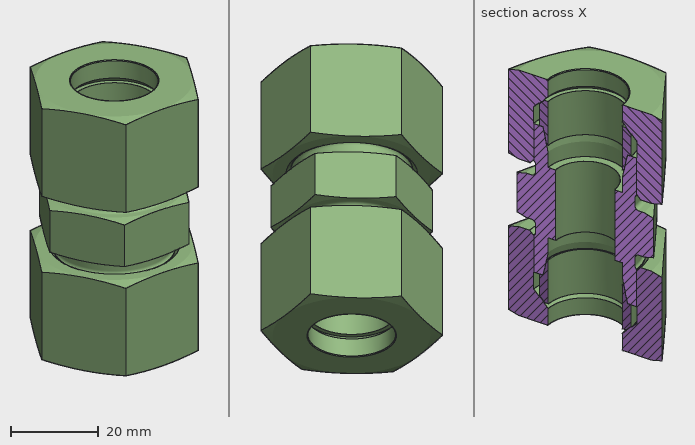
import cadquery as cq
import math

TOTAL_LENGTH = 66.0
HALF_LENGTH = TOTAL_LENGTH / 2

HEX_CHAMFER_ANGLE = 15.0
NUT_WIDTH = 36.0
NUT_SPACING = 18.0
BODY_HEX_WIDTH = 32.0
BODY_HEX_LENGTH = 12.0

THROUGH_BORE = 16.0
TUBE_BORE = 20.0
CONE_MOUTH = 22.8
RING_HEAD = 25.0
COLLAR = 27.0
THREAD = 27.85
NUT_MOUTH = 30.0

BODY_LENGTH = 40.0
STOP_SPACING = 19.0
CONE_HALF_ANGLE = 12.0
COLLAR_FILLET = 1.05
COLLAR_END_Z = 9.05
NUT_BORE_DEPTH = 4.6
NUT_BORE_CHAMFER = 0.2
RING_GAP = 1.2
RING_NOSE_LENGTH = 4.6

NUT_INNER_Z = NUT_SPACING / 2
NUT_PASSAGE_Z = HALF_LENGTH - NUT_BORE_DEPTH
BODY_END_Z = BODY_LENGTH / 2
RING_TOP_Z = NUT_PASSAGE_Z - RING_GAP
MOUTH_CHAMFER = (NUT_MOUTH - THREAD) / 2
CONE_SLOPE = math.tan(math.radians(CONE_HALF_ANGLE))


def revolve_profile(points):
    """Turn (radius, z) points into a solid of revolution about Z."""
    return cq.Workplane("XZ").polyline(points).close().revolve(360, (0, 0, 0), (0, 1, 0))


def chamfered_hexagon(width, z_low, z_high):
    """Hexagonal prism, flats facing +X and -X, with both ends turned to a shallow cone."""
    corner_diameter = width / math.cos(math.pi / 6)
    prism = (
        cq.Workplane("XY", origin=(0, 0, z_low))
        .polygon(6, corner_diameter)
        .extrude(z_high - z_low)
        .rotate((0, 0, 0), (0, 0, 1), 30)
    )
    flat_radius = width / 2
    outer_radius = corner_diameter
    drop = (outer_radius - flat_radius) * math.tan(math.radians(HEX_CHAMFER_ANGLE))
    envelope = revolve_profile([
        (0, z_low),
        (flat_radius, z_low),
        (outer_radius, z_low + drop),
        (outer_radius, z_high - drop),
        (flat_radius, z_high),
        (0, z_high),
    ])
    return prism.intersect(envelope)


def collar_fillet_point(angle):
    """Radial rise and axial advance along the collar fillet, from its tangent line on the collar."""
    turn = math.radians(angle)
    return COLLAR_FILLET * (1 - math.cos(turn)), COLLAR_FILLET * math.sin(turn)


def body_end():
    """Upper collar with its two fillets and the thread cylinder, as one turned solid."""
    hex_face_z = BODY_HEX_LENGTH / 2
    collar_start_z = hex_face_z + COLLAR_FILLET
    collar_radius = COLLAR / 2
    thread_radius = THREAD / 2
    root_rise, root_advance = collar_fillet_point(45)
    thread_turn = math.degrees(math.acos(1 - (thread_radius - collar_radius) / COLLAR_FILLET))
    mid_rise, mid_advance = collar_fillet_point(thread_turn / 2)
    thread_advance = collar_fillet_point(thread_turn)[1]
    return (
        cq.Workplane("XZ")
        .lineTo(collar_radius + COLLAR_FILLET, 0)
        .lineTo(collar_radius + COLLAR_FILLET, hex_face_z)
        .threePointArc(
            (collar_radius + root_rise, collar_start_z - root_advance),
            (collar_radius, collar_start_z),
        )
        .lineTo(collar_radius, COLLAR_END_Z)
        .threePointArc(
            (collar_radius + mid_rise, COLLAR_END_Z + mid_advance),
            (thread_radius, COLLAR_END_Z + thread_advance),
        )
        .lineTo(thread_radius, BODY_END_Z)
        .lineTo(0, BODY_END_Z)
        .close()
        .revolve(360, (0, 0, 0), (0, 1, 0))
    )


def socket_cutter():
    """Tube socket with its sealing cone, from the upper body end down to the tube stop."""
    cone_depth = (CONE_MOUTH - TUBE_BORE) / 2 / CONE_SLOPE
    stop_z = STOP_SPACING / 2
    return revolve_profile([
        (0, stop_z),
        (TUBE_BORE / 2, stop_z),
        (TUBE_BORE / 2, BODY_END_Z - cone_depth),
        (CONE_MOUTH / 2, BODY_END_Z),
        (0, BODY_END_Z),
    ])


def make_body():
    """Connector body: hexagon, two threaded ends, two tube sockets and a through bore."""
    half_hex = BODY_HEX_LENGTH / 2
    body = chamfered_hexagon(BODY_HEX_WIDTH, -half_hex, half_hex)
    upper_end = body_end()
    body = body.union(upper_end).union(upper_end.mirror("XY"))
    upper_socket = socket_cutter()
    body = body.cut(upper_socket).cut(upper_socket.mirror("XY"))
    bore = cq.Workplane("XY").circle(THROUGH_BORE / 2).extrude(BODY_LENGTH / 2, both=True)
    return body.cut(bore)


def make_nut():
    """Upper union nut: threaded bore, 45 degree pressing cone and tube passage."""
    passage_radius = TUBE_BORE / 2
    cone_height = THREAD / 2 - passage_radius
    cavity = revolve_profile([
        (0, NUT_INNER_Z),
        (NUT_MOUTH / 2, NUT_INNER_Z),
        (THREAD / 2, NUT_INNER_Z + MOUTH_CHAMFER),
        (THREAD / 2, NUT_PASSAGE_Z - cone_height),
        (passage_radius, NUT_PASSAGE_Z),
        (passage_radius, HALF_LENGTH - NUT_BORE_CHAMFER),
        (passage_radius + NUT_BORE_CHAMFER, HALF_LENGTH),
        (0, HALF_LENGTH),
    ])
    return chamfered_hexagon(NUT_WIDTH, NUT_INNER_Z, HALF_LENGTH).cut(cavity)


def make_ring():
    """Upper cutting ring: nose in the body cone, head against the pressing cone of the nut."""
    top_radius = TUBE_BORE / 2 + RING_GAP
    shoulder = RING_HEAD / 2 - top_radius
    nose_radius = CONE_MOUTH / 2 - RING_NOSE_LENGTH * CONE_SLOPE
    return revolve_profile([
        (TUBE_BORE / 2, BODY_END_Z - RING_NOSE_LENGTH),
        (nose_radius, BODY_END_Z - RING_NOSE_LENGTH),
        (CONE_MOUTH / 2, BODY_END_Z),
        (RING_HEAD / 2, BODY_END_Z),
        (RING_HEAD / 2, RING_TOP_Z - shoulder),
        (top_radius, RING_TOP_Z),
        (TUBE_BORE / 2, RING_TOP_Z),
    ])


solids = [make_body().val()]
for make_part in (make_ring, make_nut):
    upper_part = make_part()
    lower_part = upper_part.mirror("XY")
    solids.append(upper_part.val())
    solids.append(lower_part.val())

result = cq.Compound.makeCompound(solids)